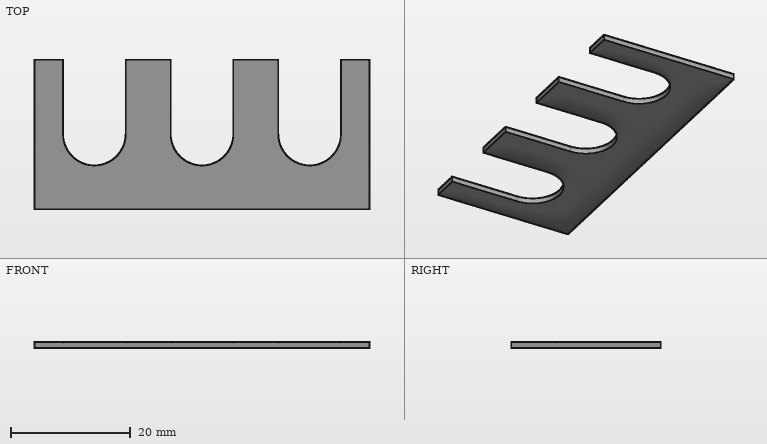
import cadquery as cq

length = 56.0
width = 25.0
thickness = 1.0

slot_count = 3
slot_pitch = 18.0
slot_width = 10.4
slot_depth = 17.65

slot_radius = slot_width / 2
open_edge_y = width / 2
arc_center_y = open_edge_y - slot_depth + slot_radius


def open_slot(center_x):
    """Cutter for one slot: straight sides ending in a half circle."""
    left_x = center_x - slot_radius
    right_x = center_x + slot_radius
    return (
        cq.Workplane("XY")
        .moveTo(left_x, open_edge_y)
        .lineTo(left_x, arc_center_y)
        .threePointArc((center_x, arc_center_y - slot_radius), (right_x, arc_center_y))
        .lineTo(right_x, open_edge_y)
        .close()
        .extrude(thickness)
    )


result = cq.Workplane("XY").box(length, width, thickness, centered=(True, True, False))

for index in range(slot_count):
    slot_x = (index - (slot_count - 1) / 2) * slot_pitch
    result = result.cut(open_slot(slot_x))